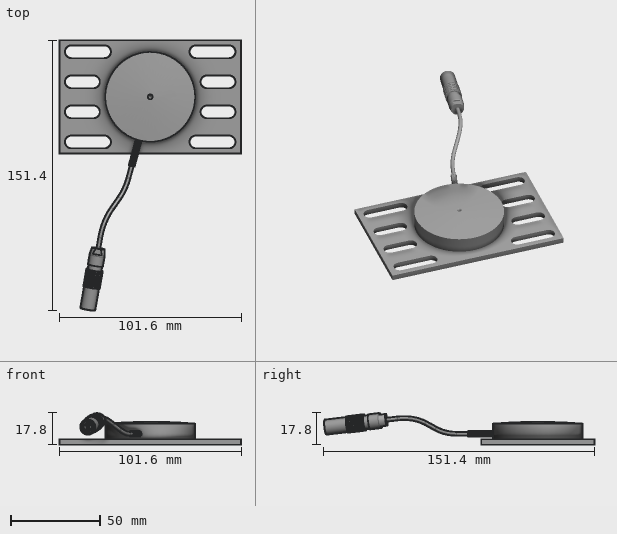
import cadquery as cq
import math

PLATE_LENGTH = 101.6
PLATE_WIDTH = 63.5
PLATE_THICKNESS = 3.2
SLOT_WIDTH = 7.0
SLOT_END_MARGIN = 3.2
SLOT_ROW_PITCH = 16.8
LONG_SLOT = 25.6
SHORT_SLOT = 19.4

SENSOR_DIAMETER = 50.3
RIM_HEIGHT = 8.8
DOME_RISE = 1.0
MARK_DIAMETER = 2.7
MARK_DEPTH = 1.4

CABLE_DIAMETER = 2.3
CABLE_HEIGHT = 6.2
ROOT_TRIM = 1.5
EXIT_ANGLE = math.radians(15)
FIRST_CORNER_RADIUS = 53.6
FIRST_BEND_REACH = 6.7
SECOND_CORNER = cq.Vector(-26.3, -69.5, 15.9)
SECOND_BEND_REACH = 9.2
CABLE_TO_CONNECTOR = 15.6
CONNECTOR_HEADING = math.radians(9.9)
CONNECTOR_DIP = math.radians(6.8)

BOOT_DIAMETER = 3.5
BOOT_END_RADIUS = 40.1
FLUTE_COUNT = 6
FLUTE_DIAMETER = 0.9
FLUTE_TWIST = 150

BODY_DIAMETER = 8.6
TAIL_DIAMETER = 7.3
TAPER_LENGTH = 4.0
NECK_DIAMETER = 7.9
FLAT_LENGTH = 3.2
ACROSS_FLATS = 6.7
SHELL_END = 9.7
GRIP_START = 12.4
GRIP_END = 22.3
CONNECTOR_LENGTH = 34.8
TIP_CHAMFER = 0.3
GRIP_DIAMETER = 9.4
RIB_COUNT = 6
RIB_GROOVE_WIDTH = 0.8
GRIP_SLOT_COUNT = 12
GRIP_SLOT_WIDTH = 0.6
SOCKET_DIAMETER = 7.0
SOCKET_DEPTH = 3.0
INSERT_DIAMETER = 4.5
INSERT_SETBACK = 0.5
CONTACT_DIAMETER = 0.9
CONTACTS_PER_ROW = 2
CONTACT_ROWS = 2
CONTACT_SPACING = 1.0
CONTACT_ROW_SPACING = 1.7
CONTACT_DEPTH = 1.2

SENSOR_RADIUS = SENSOR_DIAMETER / 2
RIM_TOP = PLATE_THICKNESS + RIM_HEIGHT
UP = cq.Vector(0, 0, 1)
exit_direction = cq.Vector(-math.sin(EXIT_ANGLE), -math.cos(EXIT_ANGLE), 0)
connector_direction = cq.Vector(
    -math.sin(CONNECTOR_HEADING) * math.cos(CONNECTOR_DIP),
    -math.cos(CONNECTOR_HEADING) * math.cos(CONNECTOR_DIP),
    -math.sin(CONNECTOR_DIP),
)


def on_exit_line(radius):
    """Point on the radial exit line at a distance from the sensor axis."""
    return exit_direction * radius + UP * CABLE_HEIGHT


cable_root = on_exit_line(SENSOR_RADIUS - ROOT_TRIM)
first_corner = on_exit_line(FIRST_CORNER_RADIUS)
connector_start = SECOND_CORNER + connector_direction * CABLE_TO_CONNECTOR


def plane_along(origin, direction):
    """Plane at origin facing along direction, with its X axis level."""
    return cq.Plane(origin=origin, xDir=direction.cross(UP), normal=direction)


def make_plate():
    plate = cq.Workplane().box(PLATE_LENGTH, PLATE_WIDTH, PLATE_THICKNESS, centered=(True, True, False))
    row_slots = [LONG_SLOT, SHORT_SLOT, SHORT_SLOT, LONG_SLOT]
    for row, slot_length in enumerate(row_slots):
        y = (row - (len(row_slots) - 1) / 2) * SLOT_ROW_PITCH
        x = PLATE_LENGTH / 2 - SLOT_END_MARGIN - slot_length / 2
        slots = (
            cq.Workplane()
            .pushPoints([(-x, y), (x, y)])
            .slot2D(slot_length, SLOT_WIDTH)
            .extrude(PLATE_THICKNESS)
        )
        plate = plate.cut(slots)
    return plate


def make_sensor():
    dome_radius = (SENSOR_RADIUS**2 + DOME_RISE**2) / (2 * DOME_RISE)
    dome_centre = RIM_TOP + DOME_RISE - dome_radius
    mark_radius = MARK_DIAMETER / 2
    mark_rim = dome_centre + math.sqrt(dome_radius**2 - mark_radius**2)
    middle = SENSOR_RADIUS / 2
    dome_middle = dome_centre + math.sqrt(dome_radius**2 - middle**2)
    return (
        cq.Workplane("XZ")
        .moveTo(0, PLATE_THICKNESS)
        .lineTo(SENSOR_RADIUS, PLATE_THICKNESS)
        .lineTo(SENSOR_RADIUS, RIM_TOP)
        .threePointArc((middle, dome_middle), (mark_radius, mark_rim))
        .lineTo(0, mark_rim - MARK_DEPTH)
        .close()
        .revolve(360, (0, 0), (0, 1))
    )


def make_cable():
    """Round cable swept along three straight runs joined by tangent bends."""
    climb_direction = (SECOND_CORNER - first_corner).normalized()
    first_bend_start = first_corner - exit_direction * FIRST_BEND_REACH
    first_bend_end = first_corner + climb_direction * FIRST_BEND_REACH
    second_bend_start = SECOND_CORNER - climb_direction * SECOND_BEND_REACH
    second_bend_end = SECOND_CORNER + connector_direction * SECOND_BEND_REACH
    path = cq.Wire.assembleEdges([
        cq.Edge.makeLine(cable_root, first_bend_start),
        cq.Edge.makeTangentArc(first_bend_start, exit_direction, first_bend_end),
        cq.Edge.makeLine(first_bend_end, second_bend_start),
        cq.Edge.makeTangentArc(second_bend_start, climb_direction, second_bend_end),
        cq.Edge.makeLine(second_bend_end, connector_start),
    ])
    return cq.Workplane(plane_along(cable_root, exit_direction)).circle(CABLE_DIAMETER / 2).sweep(path)


def make_boot():
    """Sleeve around the cable root with round flutes twisting along it."""
    boot_length = BOOT_END_RADIUS - cable_root.dot(exit_direction)
    section = (
        cq.Sketch()
        .circle(BOOT_DIAMETER / 2)
        .parray(BOOT_DIAMETER / 2, 0, 360, FLUTE_COUNT)
        .circle(FLUTE_DIAMETER / 2, mode="s")
    )
    return (
        cq.Workplane(plane_along(cable_root, exit_direction))
        .placeSketch(section)
        .twistExtrude(boot_length, FLUTE_TWIST)
    )


def make_grip():
    """Ribbed sleeve of the connector, cut by ring grooves and lengthwise slots."""
    rib_pitch = (GRIP_END - GRIP_START + RIB_GROOVE_WIDTH) / RIB_COUNT
    rib_width = rib_pitch - RIB_GROOVE_WIDTH
    grip = cq.Workplane().circle(BODY_DIAMETER / 2).extrude(GRIP_END - GRIP_START)
    for rib in range(RIB_COUNT):
        ring = cq.Workplane().workplane(offset=rib * rib_pitch).circle(GRIP_DIAMETER / 2).extrude(rib_width)
        grip = grip.union(ring)
    slot_depth = (GRIP_DIAMETER - BODY_DIAMETER) / 2
    slots = (
        cq.Workplane()
        .polarArray(GRIP_DIAMETER / 2, 0, 360, GRIP_SLOT_COUNT)
        .rect(2 * slot_depth, GRIP_SLOT_WIDTH)
        .extrude(GRIP_END - GRIP_START)
    )
    return grip.cut(slots).translate((0, 0, GRIP_START))


def make_connector():
    """Connector built along +Z from its cable end, then moved to the end of the cable."""
    body = (
        cq.Workplane("XZ")
        .polyline([
            (0, 0),
            (TAIL_DIAMETER / 2, 0),
            (BODY_DIAMETER / 2, TAPER_LENGTH),
            (BODY_DIAMETER / 2, SHELL_END),
            (NECK_DIAMETER / 2, SHELL_END),
            (NECK_DIAMETER / 2, GRIP_START),
            (BODY_DIAMETER / 2, GRIP_START),
            (BODY_DIAMETER / 2, CONNECTOR_LENGTH - TIP_CHAMFER),
            (BODY_DIAMETER / 2 - TIP_CHAMFER, CONNECTOR_LENGTH),
            (0, CONNECTOR_LENGTH),
        ])
        .close()
        .revolve(360, (0, 0), (0, 1))
    )
    flat_depth = (BODY_DIAMETER - ACROSS_FLATS) / 2
    flat_offset = (ACROSS_FLATS + flat_depth) / 2
    flats = (
        cq.Workplane()
        .pushPoints([(0, -flat_offset), (0, flat_offset)])
        .rect(BODY_DIAMETER, flat_depth)
        .extrude(FLAT_LENGTH)
    )
    socket = (
        cq.Workplane()
        .workplane(offset=CONNECTOR_LENGTH - SOCKET_DEPTH)
        .circle(SOCKET_DIAMETER / 2)
        .extrude(SOCKET_DEPTH)
    )
    contacts = (
        cq.Sketch()
        .rarray(CONTACT_SPACING, CONTACT_ROW_SPACING, CONTACTS_PER_ROW, CONTACT_ROWS)
        .circle(CONTACT_DIAMETER / 2)
    )
    insert = (
        cq.Workplane()
        .workplane(offset=CONNECTOR_LENGTH - SOCKET_DEPTH)
        .circle(INSERT_DIAMETER / 2)
        .extrude(SOCKET_DEPTH - INSERT_SETBACK)
        .faces(">Z")
        .workplane()
        .placeSketch(contacts)
        .cutBlind(-CONTACT_DEPTH)
    )
    connector = body.union(make_grip()).cut(flats).cut(socket).union(insert)
    location = plane_along(connector_start, connector_direction).location
    return cq.Workplane(connector.val().moved(location))


plate = make_plate()
sensor = make_sensor()
lead = make_boot().union(make_cable()).cut(sensor).union(make_connector())

result = cq.Compound.makeCompound([plate.val(), sensor.val(), *lead.solids().vals()])